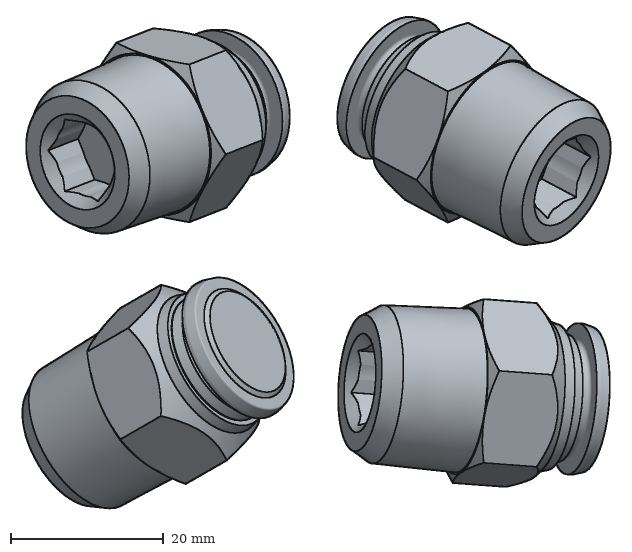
import cadquery as cq
import math


thread_end_y = 14.0
thread_base_diameter = 21.55
thread_taper = 1 / 16
lead_in_length = 2.5
lead_in_angle = 30.0

hex_across_flats = 22.0
hex_crest_y = 24.0
hex_front_chamfer_angle = 30.0

collar_root_radius = 10.0
collar_length = 1.5
collar_draft = 15.0

ring_root_radius = 8.9
ring_tip_radius = 8.4
ring_land = 0.1
ring_length = 1.5

neck_radius = 7.4
neck_length = 1.4
neck_fillet = 0.5
flange_radius = 9.95
flange_rim_length = 0.55
flange_length = 2.0
flange_draft = 15.0
flange_edge_fillet = 0.25
crown_root_radius = 7.9
crown_tip_radius = 7.3
crown_height = 0.5

notch_width = 0.9
notch_height = 0.2
notch_depth = 0.5
notch_angle = 12.0

socket_across_flats = 10.0
socket_drill_diameter = 10.2
socket_mouth_diameter = 13.0
socket_depth = 6.7


def tan_deg(angle):
    return math.tan(math.radians(angle))


def corner_diameter(across_flats):
    return across_flats * 2 / math.sqrt(3)


def hex_prism(across_flats, y_start, y_end):
    """Hexagonal prism along Y with two corners on the X direction."""
    base = cq.Workplane("XZ", origin=(0, y_start, 0))
    return base.polygon(6, corner_diameter(across_flats)).extrude(y_start - y_end)


def turned(outline):
    """Revolve a closed (radius, y) outline about the Y axis."""
    return outline.close().revolve(360, (0, 0, 0), (0, 1, 0))


def start_outline(y):
    return cq.Workplane("XY").moveTo(0, y)


def thread_spigot():
    base_radius = thread_base_diameter / 2
    lead_in_radius = base_radius - (thread_end_y - lead_in_length) * thread_taper / 2
    end_radius = lead_in_radius - lead_in_length * tan_deg(lead_in_angle)
    outline = (
        start_outline(0)
        .lineTo(end_radius, 0)
        .lineTo(lead_in_radius, lead_in_length)
        .lineTo(base_radius, thread_end_y)
        .lineTo(0, thread_end_y)
    )
    return turned(outline)


hex_inradius = hex_across_flats / 2
collar_root_y = hex_crest_y + hex_inradius - collar_root_radius
collar_top_y = collar_root_y + collar_length


def hex_body():
    """Hexagon with its corners turned off by a front and a rear cone, plus the collar."""
    corner_radius = corner_diameter(hex_across_flats) / 2
    corner_height = corner_radius - hex_inradius
    front_corner_y = thread_end_y + corner_height * tan_deg(hex_front_chamfer_angle)
    rear_corner_y = hex_crest_y - corner_height
    envelope = (
        start_outline(thread_end_y)
        .lineTo(hex_inradius, thread_end_y)
        .lineTo(corner_radius, front_corner_y)
        .lineTo(corner_radius, rear_corner_y)
        .lineTo(collar_root_radius, collar_root_y)
        .lineTo(0, collar_root_y)
    )
    nut = hex_prism(hex_across_flats, thread_end_y, collar_root_y).intersect(turned(envelope))

    collar_top_radius = collar_root_radius - collar_length * tan_deg(collar_draft)
    collar = (
        start_outline(collar_root_y)
        .lineTo(collar_root_radius, collar_root_y)
        .lineTo(collar_top_radius, collar_top_y)
        .lineTo(0, collar_top_y)
    )
    return nut.union(turned(collar))


ring_top_y = collar_top_y + ring_length


def collet_ring():
    outline = (
        start_outline(collar_top_y)
        .lineTo(ring_root_radius, collar_top_y)
        .lineTo(ring_root_radius, collar_top_y + ring_land)
        .lineTo(ring_tip_radius, ring_top_y)
        .lineTo(0, ring_top_y)
    )
    return turned(outline)


def release_button():
    flange_y = ring_top_y + neck_length
    rim_y = flange_y + flange_rim_length
    flange_top_y = flange_y + flange_length
    crown_y = flange_top_y + crown_height
    flange_top_radius = flange_radius - (flange_length - flange_rim_length) * tan_deg(flange_draft)

    flange = (
        start_outline(flange_y)
        .lineTo(flange_radius, flange_y)
        .lineTo(flange_radius, rim_y)
        .lineTo(flange_top_radius, flange_top_y)
        .lineTo(0, flange_top_y)
    )
    flange = turned(flange).faces(">Y").edges().fillet(flange_edge_fillet)

    neck = (
        start_outline(ring_top_y)
        .lineTo(neck_radius, ring_top_y)
        .lineTo(neck_radius, flange_y - neck_fillet)
        .radiusArc((neck_radius + neck_fillet, flange_y), neck_fillet)
        .lineTo(0, flange_y)
    )
    crown = (
        start_outline(flange_top_y)
        .lineTo(crown_root_radius, flange_top_y)
        .lineTo(crown_tip_radius, crown_y)
        .lineTo(0, crown_y)
    )
    return turned(neck).union(flange).union(turned(crown))


def neck_notch():
    """Small cutter, sunk radially into the neck and resting on the collet ring."""
    cutter = cq.Workplane("XY").box(
        notch_depth, notch_height, notch_width, centered=(False, False, True)
    )
    cutter = cutter.translate((-neck_radius, ring_top_y, 0))
    return cutter.rotate((0, 0, 0), (0, 1, 0), notch_angle)


def key_socket():
    """Blind hexagon drilled slightly over its flats, with a 45 degree countersunk mouth."""
    mouth_radius = socket_mouth_diameter / 2
    drill_radius = socket_drill_diameter / 2
    drill = (
        start_outline(0)
        .lineTo(mouth_radius, 0)
        .lineTo(drill_radius, mouth_radius - drill_radius)
        .lineTo(drill_radius, socket_depth)
        .lineTo(0, socket_depth)
    )
    return hex_prism(socket_across_flats, 0, socket_depth).union(turned(drill))


result = (
    thread_spigot()
    .union(hex_body())
    .union(collet_ring())
    .union(release_button())
    .cut(neck_notch())
    .cut(key_socket())
)